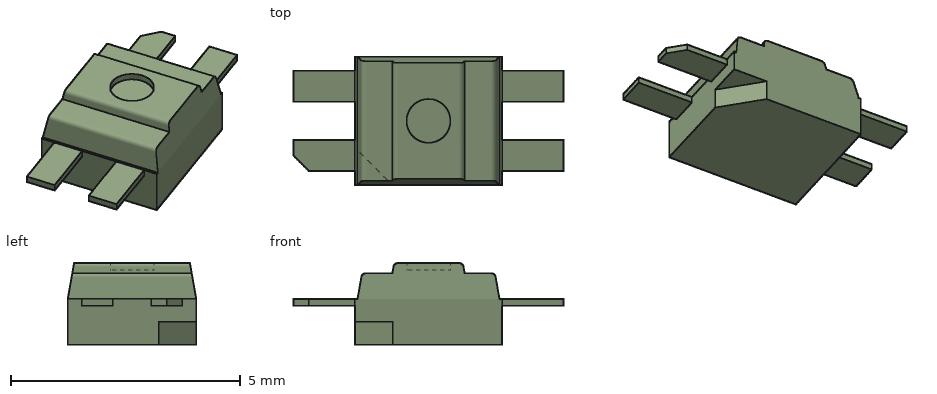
import cadquery as cq
import math

overall_length = 5.88
body_length = 3.2
body_width = 2.8
body_height = 1.78
base_height = 1.0

draft_angle = 10.0
cap_end_inset = 0.05
step_height = 0.225
step_length = 1.575
edge_radius = 0.1

recess_diameter = 0.95
recess_depth = 0.15

corner_notch_leg = 0.82
corner_notch_height = 0.5

lead_width = 0.675
lead_thickness = 0.15
lead_offset = 0.75
lead_bevel = lead_width / 2
lead_length = (overall_length - body_length) / 2

draft_slope = math.tan(math.radians(draft_angle))
shoulder_height = body_height - step_height


def make_cap():
    """Stepped cap whose end, side and step walls all lean inward."""
    foot_x = body_length / 2 - cap_end_inset
    shoulder_x = foot_x - (shoulder_height - base_height) * draft_slope
    step_foot_x = step_length / 2
    step_top_x = step_foot_x - step_height * draft_slope
    right_side = [
        (foot_x, base_height),
        (shoulder_x, shoulder_height),
        (step_foot_x, shoulder_height),
        (step_top_x, body_height),
    ]
    left_side = [(-x, z) for x, z in reversed(right_side)]
    stepped_bar = (
        cq.Workplane("XZ")
        .polyline(right_side + left_side)
        .close()
        .extrude(body_width / 2, both=True)
    )
    for edge_x, edge_z in ((shoulder_x, shoulder_height), (step_top_x, body_height)):
        for side in (-1, 1):
            nearest = cq.selectors.NearestToPointSelector((side * edge_x, 0, edge_z))
            stepped_bar = stepped_bar.edges("|Y").edges(nearest).fillet(edge_radius)

    foot_y = body_width / 2
    top_y = foot_y - (body_height - base_height) * draft_slope
    side_draft = (
        cq.Workplane("YZ")
        .polyline([
            (-foot_y, base_height),
            (foot_y, base_height),
            (top_y, body_height),
            (-top_y, body_height),
        ])
        .close()
        .extrude(body_length / 2, both=True)
    )
    return stepped_bar.intersect(side_draft)


def make_corner_notch():
    """Triangular prism removed from the lower -X, -Y corner."""
    corner_x = -body_length / 2
    corner_y = -body_width / 2
    return (
        cq.Workplane("XY")
        .polyline([
            (corner_x, corner_y),
            (corner_x + corner_notch_leg, corner_y),
            (corner_x, corner_y + corner_notch_leg),
        ])
        .close()
        .extrude(corner_notch_height)
    )


def make_housing():
    base = cq.Workplane("XY").box(body_length, body_width, base_height, centered=(True, True, False))
    recess = (
        cq.Workplane("XY", origin=(0, 0, body_height - recess_depth))
        .circle(recess_diameter / 2)
        .extrude(recess_depth)
    )
    return base.union(make_cap()).cut(make_corner_notch()).cut(recess)


def make_lead(x_side, y_side):
    """Flat lead butted against an end wall, flush with the top of the base."""
    lead = (
        cq.Workplane("XY")
        .box(lead_length, lead_width, lead_thickness)
        .translate((
            x_side * (body_length + lead_length) / 2,
            y_side * lead_offset,
            base_height - lead_thickness / 2,
        ))
    )
    if x_side < 0 and y_side < 0:
        lead = lead.faces("<X").edges("<Y").chamfer(lead_bevel)
    return lead


housing = make_housing()
leads = [make_lead(x_side, y_side) for x_side in (-1, 1) for y_side in (-1, 1)]

result = cq.Compound.makeCompound([housing.val(), *[lead.val() for lead in leads]])